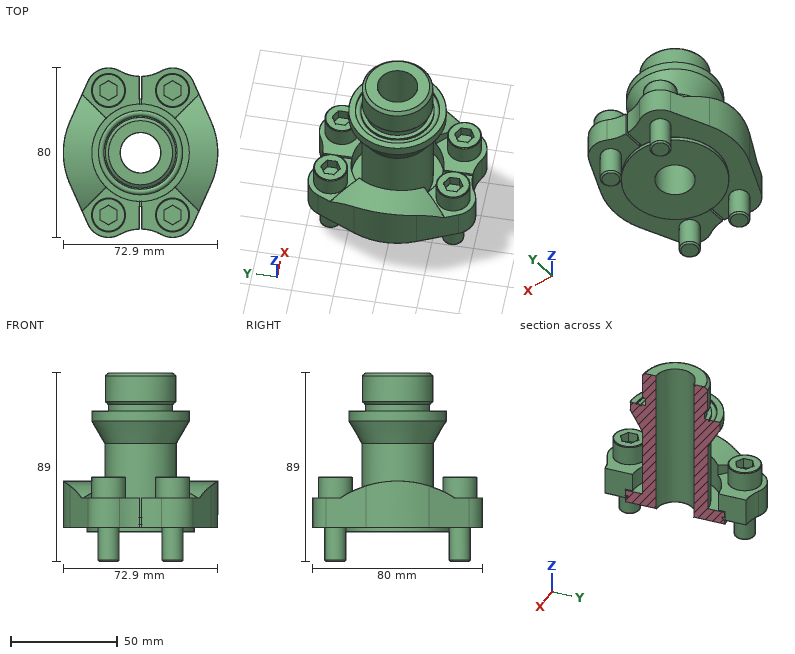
import cadquery as cq
import math

FLANGE_DIA = 50.8
FLANGE_TOP_Z = 6.8
RIM_GROOVE_BOTTOM_Z = 2.1
RIM_GROOVE_TOP_Z = 3.6
RIM_GROOVE_DEPTH = RIM_GROOVE_TOP_Z - RIM_GROOVE_BOTTOM_Z
TUBE_DIA = 33.7
BORE_DIA = 19.0
COLLAR_DIA = 46.0
COLLAR_CONE_Z = 41.7
COLLAR_EDGE_Z = 52.3
COLLAR_TOP_Z = 57.0
NECK_DIA = 30.29
THREAD_DIA = 33.25
NECK_TOP_Z = 60.0
THREAD_CHAMFER = 1.5
FITTING_TOP_Z = 75.0

GROOVE_OUTER_DIA = 39.7
GROOVE_INNER_DIA = 34.5
RING_RADIUS = (GROOVE_OUTER_DIA - GROOVE_INNER_DIA) / 4
RING_CENTRE_RADIUS = (GROOVE_OUTER_DIA + GROOVE_INNER_DIA) / 4

CLAMP_WIDTH = 72.9
CLAMP_LENGTH = 80.0
CLAMP_BOTTOM_Z = 2.0
CLAMP_TOP_Z = 16.0
CROWN_Z = 24.0
CROWN_RADIUS = 50.0
CLAMP_BORE_DIA = 43.8
SPLIT_GAP = 1.0
WAIST_RADIUS = 20.0

BOLT_X = 30.2 / 2
BOLT_Y = 58.7 / 2
SCREW_DIA = 10.0
SCREW_LENGTH = 30.0
SCREW_TIP_CHAMFER = 0.8
HEAD_DIA = 16.0
HEAD_HEIGHT = 10.0
HEAD_CHAMFER = 0.4
SOCKET_ACROSS_FLATS = 8.0
SOCKET_DEPTH = 5.0


def make_fitting():
    """Turned fitting, revolved from its half section (radius, height)."""
    neck_chamfer = (THREAD_DIA - NECK_DIA) / 2
    ring_z = COLLAR_TOP_Z - RING_RADIUS
    section = (
        cq.Workplane("XZ")
        .moveTo(BORE_DIA / 2, 0)
        .lineTo(FLANGE_DIA / 2, 0)
        .lineTo(FLANGE_DIA / 2, RIM_GROOVE_BOTTOM_Z)
        .lineTo(FLANGE_DIA / 2 - RIM_GROOVE_DEPTH, RIM_GROOVE_TOP_Z)
        .lineTo(FLANGE_DIA / 2, RIM_GROOVE_TOP_Z)
        .lineTo(FLANGE_DIA / 2, FLANGE_TOP_Z)
        .lineTo(TUBE_DIA / 2, FLANGE_TOP_Z)
        .lineTo(TUBE_DIA / 2, COLLAR_CONE_Z)
        .lineTo(COLLAR_DIA / 2, COLLAR_EDGE_Z)
        .lineTo(COLLAR_DIA / 2, COLLAR_TOP_Z)
        .lineTo(GROOVE_OUTER_DIA / 2, COLLAR_TOP_Z)
        .lineTo(GROOVE_OUTER_DIA / 2, ring_z)
        .threePointArc((RING_CENTRE_RADIUS, COLLAR_TOP_Z), (GROOVE_INNER_DIA / 2, ring_z))
        .lineTo(GROOVE_INNER_DIA / 2, COLLAR_TOP_Z)
        .lineTo(NECK_DIA / 2, COLLAR_TOP_Z)
        .lineTo(NECK_DIA / 2, NECK_TOP_Z)
        .lineTo(THREAD_DIA / 2, NECK_TOP_Z + neck_chamfer)
        .lineTo(THREAD_DIA / 2, FITTING_TOP_Z - THREAD_CHAMFER)
        .lineTo(THREAD_DIA / 2 - THREAD_CHAMFER, FITTING_TOP_Z)
        .lineTo(BORE_DIA / 2, FITTING_TOP_Z)
        .close()
    )
    return section.revolve(360, (0, 0, 0), (0, 1, 0))


def clamp_outline():
    """Closed clamp outline: side arcs, tangent flanks, round corners and hollow ends."""
    side_radius = CLAMP_WIDTH / 2
    corner_radius = CLAMP_LENGTH / 2 - BOLT_Y
    bolt_distance = math.hypot(BOLT_X, BOLT_Y)
    flank = math.atan2(BOLT_Y, BOLT_X) - math.acos((side_radius - corner_radius) / bolt_distance)
    centre_distance = corner_radius + WAIST_RADIUS
    waist_rise = math.sqrt(centre_distance**2 - BOLT_X**2)
    waist_y = BOLT_Y + waist_rise - WAIST_RADIUS

    side_end = (side_radius * math.cos(flank), side_radius * math.sin(flank))
    corner_start = (
        BOLT_X + corner_radius * math.cos(flank),
        BOLT_Y + corner_radius * math.sin(flank),
    )
    corner_top = (BOLT_X, BOLT_Y + corner_radius)
    corner_end = (
        BOLT_X * WAIST_RADIUS / centre_distance,
        BOLT_Y + corner_radius * waist_rise / centre_distance,
    )

    def place(point, sign_x, sign_y):
        return (sign_x * point[0], sign_y * point[1])

    outline = cq.Workplane("XY", origin=(0, 0, CLAMP_BOTTOM_Z)).moveTo(*place(side_end, 1, -1))
    for sign in (1, -1):
        outline = (
            outline.threePointArc((sign * side_radius, 0), place(side_end, sign, sign))
            .lineTo(*place(corner_start, sign, sign))
            .threePointArc(place(corner_top, sign, sign), place(corner_end, sign, sign))
            .threePointArc((0, sign * waist_y), place(corner_end, -sign, sign))
            .threePointArc(place(corner_top, -sign, sign), place(corner_start, -sign, sign))
            .lineTo(*place(side_end, -sign, sign))
        )
    return outline.close()


def make_crown():
    """Raised sides: a cylinder lying along X, kept inside the two 45 degree side sectors."""
    reach = CLAMP_WIDTH
    barrel = (
        cq.Workplane("YZ", origin=(-reach, 0, 0))
        .center(0, CROWN_Z - CROWN_RADIUS)
        .circle(CROWN_RADIUS)
        .extrude(2 * reach)
    )
    sectors = cq.Workplane("XY", origin=(0, 0, CLAMP_BOTTOM_Z))
    for sign in (1, -1):
        sectors = sectors.polyline([(0, 0), (sign * reach, -reach), (sign * reach, reach)]).close()
    crown_height = CROWN_Z - CLAMP_BOTTOM_Z
    sides = clamp_outline().extrude(crown_height).intersect(sectors.extrude(crown_height))
    return sides.intersect(barrel)


def make_clamp():
    """Two clamp halves with a bore and a recess that fits over the flange."""
    clamp = clamp_outline().extrude(CLAMP_TOP_Z - CLAMP_BOTTOM_Z).union(make_crown())
    bore = cq.Workplane("XY").circle(CLAMP_BORE_DIA / 2).extrude(CROWN_Z)
    seat = cq.Workplane("XY").circle(FLANGE_DIA / 2).extrude(FLANGE_TOP_Z)
    split = cq.Workplane("XY").box(SPLIT_GAP, CLAMP_LENGTH, 2 * CROWN_Z)
    return clamp.cut(bore).cut(seat).cut(split)


def make_screw():
    """Socket head screw with its head resting on the clamp."""
    shank = (
        cq.Workplane("XY", origin=(0, 0, CLAMP_TOP_Z - SCREW_LENGTH))
        .circle(SCREW_DIA / 2)
        .extrude(SCREW_LENGTH)
        .faces("<Z")
        .chamfer(SCREW_TIP_CHAMFER)
    )
    head = (
        cq.Workplane("XY", origin=(0, 0, CLAMP_TOP_Z))
        .circle(HEAD_DIA / 2)
        .extrude(HEAD_HEIGHT)
        .faces(">Z")
        .chamfer(HEAD_CHAMFER)
    )
    socket_across_corners = SOCKET_ACROSS_FLATS / math.cos(math.pi / 6)
    socket = (
        cq.Workplane("XY", origin=(0, 0, CLAMP_TOP_Z + HEAD_HEIGHT - SOCKET_DEPTH))
        .transformed(rotate=(0, 0, 90))
        .polygon(6, socket_across_corners)
        .extrude(SOCKET_DEPTH)
    )
    return shank.union(head).cut(socket)


result = make_fitting().union(make_clamp())
screw = make_screw()
for bolt_x in (-BOLT_X, BOLT_X):
    for bolt_y in (-BOLT_Y, BOLT_Y):
        result = result.union(screw.translate((bolt_x, bolt_y, 0)))